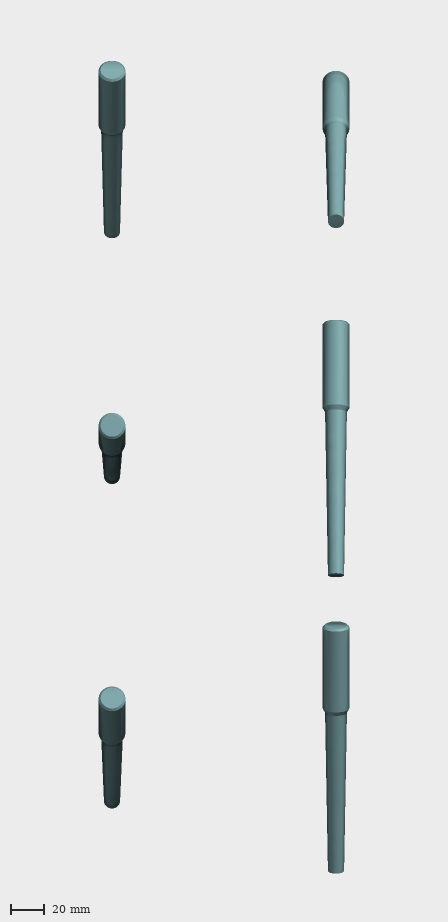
import cadquery as cq

total_length = 155.0
shank_diameter = 16.0
shank_length = 52.2
top_chamfer = 1.2

shoulder_length = 2.6
stem_top_diameter = 13.0
tip_diameter = 9.6

shank_radius = shank_diameter / 2
shank_bottom = total_length - shank_length
stem_top = shank_bottom - shoulder_length

half_section = (
    cq.Workplane("XZ")
    .moveTo(0, 0)
    .lineTo(tip_diameter / 2, 0)
    .lineTo(stem_top_diameter / 2, stem_top)
    .lineTo(shank_radius, shank_bottom)
    .lineTo(shank_radius, total_length - top_chamfer)
    .lineTo(shank_radius - top_chamfer, total_length)
    .lineTo(0, total_length)
    .close()
)
result = half_section.revolve(360, (0, 0, 0), (0, 1, 0))